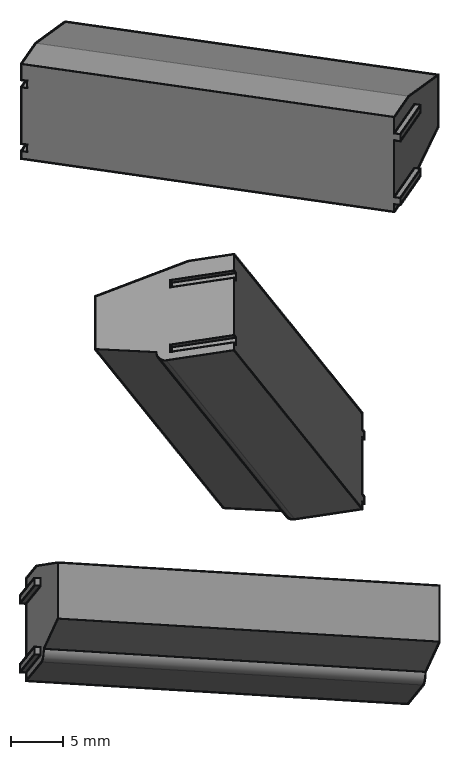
import cadquery as cq

total_length = 38.1
depth = 14.1
height = 10.2

tongue_projection = 0.6
groove_depth = tongue_projection
rail_length = 6.48
rail_height = 0.75
rail_bottoms = (0.85, 7.7)

top_flat = 4.6
back_bottom = 2.32
back_top = 7.92
foot_length = 7.9
foot_radius = 1.03

body_length = total_length - tongue_projection


def make_body():
    """Extrude the tapered cross-section along X, with a rounded foot underneath."""
    profile = (
        cq.Workplane("YZ")
        .lineTo(foot_length - foot_radius, 0)
        .radiusArc((foot_length, foot_radius), -foot_radius)
        .lineTo(depth, back_bottom)
        .lineTo(depth, back_top)
        .lineTo(top_flat, height)
        .lineTo(0, height)
        .close()
    )
    return profile.extrude(body_length)


def make_rail(start_x, thickness, bottom):
    """Bar running back from the front face, used as a tongue or a groove."""
    bar = cq.Workplane("XY").box(thickness, rail_length, rail_height, centered=False)
    return bar.translate((start_x, 0, bottom))


result = make_body()
for rail_bottom in rail_bottoms:
    result = result.union(make_rail(body_length, tongue_projection, rail_bottom))
    result = result.cut(make_rail(0, groove_depth, rail_bottom))